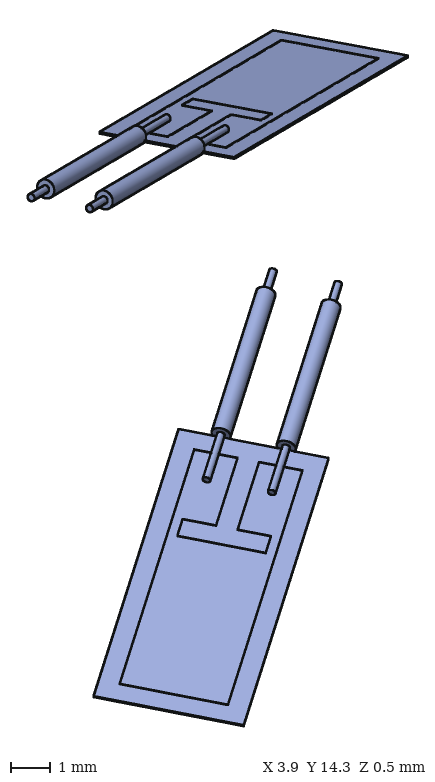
import cadquery as cq

overall_length = 14.35

carrier_width = 3.9
carrier_length = 8.9
carrier_thickness = 0.05

foil_margin = 0.55
foil_thickness = 0.022
foil_width = carrier_width - 2 * foil_margin
foil_length = carrier_length - 2 * foil_margin

gap_width = 0.56
gap_bar_length = 2.3
gap_stem_length = 2.25

wire_diameter = 0.2
sleeve_diameter = 0.5
lead_spacing = 1.7
sleeve_length = 4.7
wire_overlap = 1.5
wire_tail = overall_length - carrier_length - sleeve_length
wire_length = wire_overlap + sleeve_length + wire_tail
lead_height = wire_diameter / 2


def upper_block(width, length, thickness, front):
    """Flat block with its top at Z = 0, centred on X and starting at Y = front."""
    return (
        cq.Workplane("XY", origin=(0, front, 0))
        .box(width, length, thickness, centered=(True, False, False))
        .translate((0, 0, -thickness))
    )


def make_foil():
    """Rectangular foil with the T-shaped gap open at its front edge."""
    sheet = upper_block(foil_width, foil_length, foil_thickness, foil_margin)
    gap_stem = upper_block(gap_width, gap_stem_length, foil_thickness, foil_margin)
    gap_bar = upper_block(gap_bar_length, gap_width, foil_thickness, foil_margin + gap_stem_length)
    return sheet.cut(gap_stem).cut(gap_bar)


def make_carrier(foil):
    """Carrier film with a recess that matches the foil."""
    film = upper_block(carrier_width, carrier_length, carrier_thickness, 0)
    return film.cut(foil)


def lead_rod(x, diameter, back, length):
    """Round rod at lead height, running from Y = back towards -Y."""
    return cq.Workplane("XZ", origin=(x, back, lead_height)).circle(diameter / 2).extrude(length)


def make_wire(x):
    """Bare wire from the solder pad through the sleeve to the free tail."""
    return lead_rod(x, wire_diameter, wire_overlap, wire_length)


def make_sleeve(x, wire):
    """Insulating sleeve butting against the carrier edge, bored for its wire."""
    return lead_rod(x, sleeve_diameter, 0, sleeve_length).cut(wire)


foil = make_foil()
carrier = make_carrier(foil)

leads = []
for x in (-lead_spacing / 2, lead_spacing / 2):
    wire = make_wire(x)
    sleeve = make_sleeve(x, wire)
    leads += [wire.val(), sleeve.solids().val()]

result = cq.Compound.makeCompound([carrier.solids().val(), foil.solids().val(), *leads])